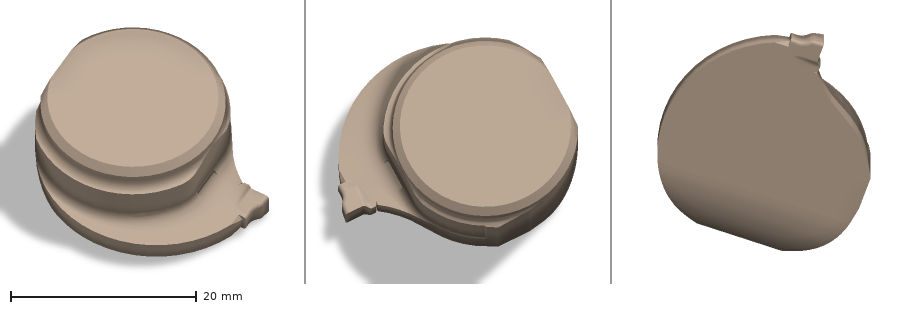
import cadquery as cq
import math


shank_radius = 10.0
shank_top = 8.85
shank_chamfer = 0.78
cove_radius = 1.01
cove_top = 7.28
wall_radius = shank_radius + cove_radius
wall_corner_radius = 4.15
back_wall_radius = 10.53
back_corner_radius = 5.72
back_wall_angle = 62.0
back_step_angle = 68.0
flat_x = -9.0

plate_thickness = 2.08
foot_fillet = 0.78
rim_center_x = 3.0
rim_bottom_y = -13.25
heel_radius = 13.0
rim_radius = 13.15
tip_chamfer_x = 15.24

back_flat_y = 10.15
back_flat_end_x = 3.67
back_radius = 10.65
back_arc_start_angle = 36.0
back_arc_end_angle = 64.0
back_blend_angle = 100.0
throat_start = (10.7, 3.12)
throat_mid = (11.99, 1.72)
throat_end = (13.4, 0.57)
nose_x = 13.25

slope_angle = 45.0
heel_slope = 3.5
heel_round = 8.0

seat_x = 10.05
seat_back_y = 0.15
seat_front_y = -3.35
insert_end_x = 16.17
insert_tip_x = 17.0
rake_y = 0.1
hump_y = 0.65
hump_start_x = 13.6
hump_end_x = 14.22
rake_start = (14.85, rake_y)
hump_mid = (14.5, 0.36)
insert_corner = (16.85, -1.07)
relief_top = (16.7, -1.35)
relief_mid = (16.35, -1.82)
relief_bottom_y = -2.47

head_rise = 0.47
ramp_foot_front = (14.01, rake_y)
ramp_foot_back = (14.27, -2.42)
ramp_foot_radius = 0.62
ramp_angle = 41.0
face_root_left = (14.45, -2.5)
face_root_right = (15.75, -2.85)
crest_fillet = 0.42
end_fillet = 0.4
crest_window = ((14.53, -1.05), (14.82, -0.25))
end_window = ((16.12, -3.33), (insert_tip_x, 0.0))
face_allowance = 0.05

blank_size = 78.0
margin = 0.25


def polar(radius, degrees):
    angle = math.radians(degrees)
    return (radius * math.cos(angle), radius * math.sin(angle))


def corner_arc(radius, corner_radius):
    """Center, mid point and end of a corner that joins the tangent flat to a wall arc above it."""
    center_x = shank_radius - corner_radius
    center_y = math.sqrt((radius - corner_radius) ** 2 - center_x ** 2)
    angle = math.degrees(math.atan2(center_y, center_x))
    bend = polar(corner_radius, angle / 2)
    return (center_x, center_y), (center_x + bend[0], center_y + bend[1]), polar(radius, angle)


def mirrored(point):
    return (point[0], -point[1])


def wall_section():
    """Wall arcs joined through rounded corners to a flat that is tangent to the shank."""
    front_center, front_mid, front_end = corner_arc(wall_radius, wall_corner_radius)
    back_center, back_mid, back_end = corner_arc(back_wall_radius, back_corner_radius)
    back_mid_angle = (math.degrees(math.atan2(back_end[1], back_end[0])) + back_wall_angle) / 2
    return (
        cq.Workplane("XY")
        .moveTo(shank_radius, -front_center[1])
        .lineTo(shank_radius, back_center[1])
        .threePointArc(back_mid, back_end)
        .threePointArc(polar(back_wall_radius, back_mid_angle), polar(back_wall_radius, back_wall_angle))
        .lineTo(*polar(wall_radius, back_step_angle))
        .threePointArc((-wall_radius, 0), mirrored(front_end))
        .threePointArc(mirrored(front_mid), (shank_radius, -front_center[1]))
        .close()
    )


def cove_envelope():
    """Revolved space: wide up to the cove, then narrowing along the cove to the shank."""
    cove_bottom = cove_top - cove_radius
    bend = cove_radius * math.sqrt(0.5)
    return (
        cq.Workplane("XZ")
        .lineTo(blank_size, 0)
        .lineTo(blank_size, cove_bottom)
        .lineTo(wall_radius, cove_bottom)
        .threePointArc((wall_radius - bend, cove_top - bend), (shank_radius, cove_top))
        .lineTo(0, cove_top)
        .close()
        .revolve(360, (0, 0, 0), (0, 1, 0))
    )


def rim_point(center_y, radius, angle):
    """Point on an arc whose center lies straight above the lowest point of the plate rim."""
    point = polar(radius, angle)
    return (rim_center_x + point[0], center_y + point[1])


def outline_prism():
    """Holder outline through the full height; the shank disc covers its back left side."""
    heel_center_y = rim_bottom_y + heel_radius
    rim_center_y = rim_bottom_y + rim_radius
    heel_angle = 180 + math.degrees(math.acos((rim_center_x - flat_x) / heel_radius))
    blend = math.radians(back_blend_angle)
    blend_x = (shank_radius - back_flat_y * math.sin(blend)) / math.cos(blend)
    return (
        cq.Workplane("XY")
        .moveTo(*rim_point(heel_center_y, heel_radius, heel_angle))
        .threePointArc(
            rim_point(heel_center_y, heel_radius, (heel_angle + 270) / 2),
            (rim_center_x, rim_bottom_y),
        )
        .threePointArc(
            rim_point(rim_center_y, rim_radius, -45),
            rim_point(rim_center_y, rim_radius, 0),
        )
        .lineTo(nose_x, seat_back_y)
        .lineTo(*throat_end)
        .threePointArc(throat_mid, throat_start)
        .lineTo(*polar(back_radius, back_arc_start_angle))
        .threePointArc(
            polar(back_radius, (back_arc_start_angle + back_arc_end_angle) / 2),
            polar(back_radius, back_arc_end_angle),
        )
        .lineTo(back_flat_end_x, back_flat_y)
        .lineTo(blend_x, back_flat_y)
        .lineTo(*polar(shank_radius, back_blend_angle))
        .lineTo(flat_x, 0)
        .close()
        .extrude(shank_top + margin)
        .translate((0, 0, -margin / 2))
    )


def heel_relief():
    """Material removed under the heel."""
    reach = heel_round * math.tan(math.radians(slope_angle / 2))
    foot_x = flat_x + heel_slope
    drop = reach * math.sin(math.radians(slope_angle))
    end_x = foot_x + reach
    bend = polar(heel_round, -90 - slope_angle / 2)
    return (
        cq.Workplane("XZ", origin=(0, blank_size / 2, 0))
        .moveTo(flat_x - margin, heel_slope + margin)
        .lineTo(foot_x - drop, drop)
        .threePointArc((end_x + bend[0], heel_round + bend[1]), (end_x, 0))
        .lineTo(end_x, -margin)
        .lineTo(flat_x - margin, -margin)
        .close()
        .extrude(blank_size)
    )


def tip_profile():
    """Side profile of the holder that chamfers the far end of the plate, top and bottom."""
    reach_x = tip_chamfer_x + plate_thickness / 2
    return (
        cq.Workplane("XZ", origin=(0, blank_size / 2, 0))
        .moveTo(tip_chamfer_x, 0)
        .lineTo(reach_x, plate_thickness / 2)
        .lineTo(tip_chamfer_x, plate_thickness)
        .lineTo(tip_chamfer_x, shank_top + margin)
        .lineTo(-blank_size, shank_top + margin)
        .lineTo(-blank_size, 0)
        .close()
        .extrude(blank_size)
    )


def shank_disc():
    """Round shank through the full height, chamfered on top and cut by the flat."""
    disc = cq.Workplane("XY").circle(shank_radius).extrude(shank_top).faces(">Z").chamfer(shank_chamfer)
    beyond_flat = (
        cq.Workplane("XY")
        .moveTo(flat_x, -blank_size / 2)
        .rect(-blank_size, blank_size, centered=False)
        .extrude(blank_size)
    )
    return disc.cut(beyond_flat)


def wall_and_plate():
    """Wall standing on the plate with a filleted foot, trimmed to the holder outline."""
    slab = cq.Workplane("XY").box(blank_size, blank_size, plate_thickness, centered=(True, True, False))
    body = slab.union(wall_section().extrude(shank_top))
    reach = wall_radius + margin
    foot_edges = cq.selectors.BoxSelector(
        (-reach, -reach, plate_thickness - margin),
        (reach, reach, plate_thickness + margin),
    )
    body = body.edges(foot_edges).fillet(foot_fillet)
    return body.intersect(outline_prism()).intersect(cove_envelope()).intersect(tip_profile())


def seat_space():
    """Slot for the insert, open at the far end and cutting through the foot fillet."""
    return (
        cq.Workplane("XY")
        .moveTo(seat_x, seat_front_y)
        .rect(blank_size, seat_back_y - seat_front_y, centered=False)
        .extrude(plate_thickness + foot_fillet)
    )


def make_holder():
    return wall_and_plate().union(shank_disc()).cut(heel_relief()).cut(seat_space())


def insert_outline():
    """Insert outline, tall enough to hold the raised head."""
    return (
        cq.Workplane("XY", origin=(0, 0, -head_rise - margin))
        .moveTo(seat_x, seat_front_y)
        .lineTo(insert_end_x, seat_front_y)
        .lineTo(insert_end_x, relief_bottom_y)
        .threePointArc(relief_mid, relief_top)
        .lineTo(*insert_corner)
        .lineTo(insert_tip_x, rake_y)
        .lineTo(*rake_start)
        .threePointArc(hump_mid, (hump_end_x, hump_y))
        .lineTo(hump_start_x, hump_y)
        .lineTo(nose_x, seat_back_y)
        .lineTo(seat_x, seat_back_y)
        .close()
        .extrude(plate_thickness + 2 * (head_rise + margin))
    )


def space_below(first, second, third):
    """Block under the plane through three points listed anticlockwise from above."""
    first, second, third = cq.Vector(first), cq.Vector(second), cq.Vector(third)
    along = second - first
    plane = cq.Plane(origin=first, xDir=along, normal=along.cross(third - first))
    return cq.Workplane(plane).rect(blank_size, blank_size).extrude(-blank_size)


def ramp_space():
    """Space under a ramp that rises out of the plate face along a concave round."""
    front = cq.Vector(*ramp_foot_front, plate_thickness)
    back = cq.Vector(*ramp_foot_back, plate_thickness)
    along = back - front
    plane = cq.Plane(origin=front, xDir=cq.Vector(0, 0, 1).cross(along), normal=along)
    angle = math.radians(ramp_angle)

    def round_point(turn):
        return (ramp_foot_radius * math.sin(turn), ramp_foot_radius * (1 - math.cos(turn)))

    top = round_point(angle)
    return (
        cq.Workplane(plane)
        .moveTo(-blank_size, 0)
        .lineTo(0, 0)
        .threePointArc(round_point(angle / 2), top)
        .lineTo(blank_size, top[1] + (blank_size - top[0]) * math.tan(angle))
        .lineTo(blank_size, -blank_size)
        .lineTo(-blank_size, -blank_size)
        .close()
        .extrude(blank_size, both=True)
    )


def head_space():
    """Space under the ramp and the sloping top of the head, and its mirror image below."""
    top_face = space_below(
        (*face_root_left, plate_thickness),
        (*face_root_right, plate_thickness),
        (insert_tip_x - end_fillet, rake_y, plate_thickness + head_rise),
    )
    upper = ramp_space().intersect(top_face)
    lower = upper.mirror("XY", (0, 0, plate_thickness / 2))
    return upper.intersect(lower)


def edges_on_both_faces(body, low, high):
    """Edges whose middle lies in an XY window, on the upper and on the lower side of the insert."""
    upper = cq.selectors.BoxSelector(
        (*low, plate_thickness - face_allowance), (*high, plate_thickness + head_rise + margin)
    )
    lower = cq.selectors.BoxSelector((*low, -head_rise - margin), (*high, face_allowance))
    return body.edges(upper + lower)


def make_insert():
    full = insert_outline()
    blade = full.intersect(cq.Workplane("XY").box(
        blank_size, blank_size, plate_thickness, centered=(True, True, False)
    ))
    body = blade.union(full.intersect(head_space()))
    body = edges_on_both_faces(body, *crest_window).fillet(crest_fillet)
    return edges_on_both_faces(body, *end_window).fillet(end_fillet)


holder = make_holder()
insert = make_insert()
result = cq.Compound.makeCompound([holder.val(), insert.val()])